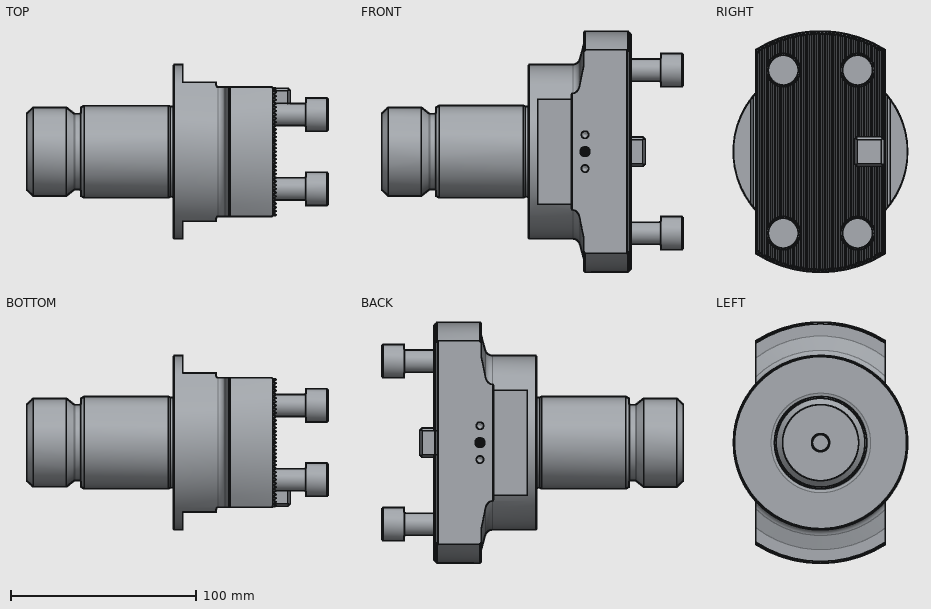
import cadquery as cq
import math

TOTAL_LENGTH = 162.8

QUARTER_ARC_DIP = 1 - math.sqrt(0.5)

NOSE_RADIUS = 24.0
NOSE_CHAMFER_LENGTH = 3.5
NOSE_CHAMFER_RISE = 3.4
GROOVE_START = 21.5
GROOVE_RADIUS = 20.5
GROOVE_RAMP_LENGTH = 4.2
GROOVE_END = 29.3
GROOVE_ROUND = 0.7
SHANK_RADIUS = 24.9
LEAD_IN_LENGTH = 1.8
LEAD_IN_RISE = 1.0
UNDERCUT_START = 76.5
UNDERCUT_DEPTH = 0.5
UNDERCUT_RAMP_LENGTH = 1.0
UNDERCUT_ROUND = 0.8
UNDERCUT_FACE_RADIUS = 26.9
UNDERCUT_FACE_DEPTH = 0.3

FLANGE_FACE = 79.1
FLANGE_RADIUS = 94.0 / 2
FLANGE_CHAMFER = 0.7
FLANGE_BACK = 84.3
STEP_END = 102.7
BODY_WIDTH = 75.0
BODY_FLAT_END = 102.2
STEP_RISE = 1.1

PLATE_BACK = 108.9
PLATE_FRONT = 134.6
PLATE_RADIUS = 130.0 / 2
PLATE_WIDTH = 70
PLATE_BACK_CHAMFER = 1.0
PLATE_RIM_CHAMFER = 2.0
NECK_ROUND = 3.9
CONE_OUTER_RADIUS = 57.6
CONE_TILT = math.radians(15)
TOOTH_COUNT = 35
TOOTH_PITCH = PLATE_WIDTH / TOOTH_COUNT
TOOTH_ANGLE = math.radians(60)
TOOTH_DEPTH = TOOTH_PITCH / 2 / math.tan(TOOTH_ANGLE / 2)
SERRATION_INSET = 0.5

BORE_RADIUS = 4.9
BORE_CHAMFER = 0.5
PASSAGE_X = 109.7
PASSAGE_RADIUS = 2.0
PASSAGE_CHAMFER = 0.7
SIDE_HOLE_RADIUS = 2.0
SIDE_HOLE_SPACING = 9.1
SIDE_HOLE_DEPTH = 8.1
DRILL_POINT_ANGLE = math.radians(118)

NOZZLE_LENGTH = 4.9
NOZZLE_BORE_RADIUS = 0.7
NOZZLE_MOUTH_RADIUS = 1.1

SCREW_Y = 20.0
SCREW_Z = 44
SCREW_RADIUS = 6.0
SCREW_LENGTH = 30.0
HEAD_RADIUS = 18.0 / 2
HEAD_HEIGHT = 12.2
HEAD_CHAMFER = 1.0
HEAD_NECK_ROUND = 0.7

KEY_SIZE = 16.0
KEY_TOP = 34.3
KEY_END = 142.3
KEY_SEAT = 130.2
KEY_CHAMFER = 1.5


def make_turned_blank():
    """The shank, flange, neck and plate as one turned shape."""
    neck_angle = math.pi / 2 - CONE_TILT
    cone_radius = FLANGE_RADIUS + NECK_ROUND * (1 - math.cos(neck_angle))
    cone_x = PLATE_BACK - (CONE_OUTER_RADIUS - cone_radius) * math.tan(CONE_TILT)
    neck_start = cone_x - NECK_ROUND * math.sin(neck_angle)
    neck_mid = (
        neck_start + NECK_ROUND * math.sin(neck_angle / 2),
        FLANGE_RADIUS + NECK_ROUND * (1 - math.cos(neck_angle / 2)),
    )
    ramp_end = GROOVE_START + GROOVE_RAMP_LENGTH
    ramp_angle = math.atan2(NOSE_RADIUS - GROOVE_RADIUS, GROOVE_RAMP_LENGTH)
    ramp_tangent = GROOVE_ROUND * math.tan(ramp_angle / 2)
    ramp_round_start = (
        ramp_end - ramp_tangent * math.cos(ramp_angle),
        GROOVE_RADIUS + ramp_tangent * math.sin(ramp_angle),
    )
    ramp_round_mid = (
        ramp_end + ramp_tangent - GROOVE_ROUND * math.sin(ramp_angle / 2),
        GROOVE_RADIUS + GROOVE_ROUND * (1 - math.cos(ramp_angle / 2)),
    )
    groove_dip = GROOVE_ROUND * QUARTER_ARC_DIP
    undercut_dip = UNDERCUT_ROUND * QUARTER_ARC_DIP
    undercut_end = FLANGE_FACE + UNDERCUT_FACE_DEPTH
    undercut_radius = SHANK_RADIUS - UNDERCUT_DEPTH
    profile = (
        cq.Workplane("XY")
        .moveTo(0, 0)
        .lineTo(0, NOSE_RADIUS - NOSE_CHAMFER_RISE)
        .lineTo(NOSE_CHAMFER_LENGTH, NOSE_RADIUS)
        .lineTo(GROOVE_START, NOSE_RADIUS)
        .lineTo(*ramp_round_start)
        .threePointArc(ramp_round_mid, (ramp_end + ramp_tangent, GROOVE_RADIUS))
        .lineTo(GROOVE_END - GROOVE_ROUND, GROOVE_RADIUS)
        .threePointArc(
            (GROOVE_END - groove_dip, GROOVE_RADIUS + groove_dip),
            (GROOVE_END, GROOVE_RADIUS + GROOVE_ROUND),
        )
        .lineTo(GROOVE_END, SHANK_RADIUS - LEAD_IN_RISE)
        .lineTo(GROOVE_END + LEAD_IN_LENGTH, SHANK_RADIUS)
        .lineTo(UNDERCUT_START, SHANK_RADIUS)
        .lineTo(UNDERCUT_START + UNDERCUT_RAMP_LENGTH, undercut_radius)
        .lineTo(undercut_end - UNDERCUT_ROUND, undercut_radius)
        .threePointArc(
            (undercut_end - undercut_dip, undercut_radius + undercut_dip),
            (undercut_end, undercut_radius + UNDERCUT_ROUND),
        )
        .lineTo(FLANGE_FACE, UNDERCUT_FACE_RADIUS)
        .lineTo(FLANGE_FACE, FLANGE_RADIUS - FLANGE_CHAMFER)
        .lineTo(FLANGE_FACE + FLANGE_CHAMFER, FLANGE_RADIUS)
        .lineTo(neck_start, FLANGE_RADIUS)
        .threePointArc(neck_mid, (cone_x, cone_radius))
        .lineTo(PLATE_BACK, CONE_OUTER_RADIUS)
        .lineTo(PLATE_BACK, PLATE_RADIUS - PLATE_BACK_CHAMFER)
        .lineTo(PLATE_BACK + PLATE_BACK_CHAMFER, PLATE_RADIUS)
        .lineTo(PLATE_FRONT - PLATE_RIM_CHAMFER, PLATE_RADIUS)
        .lineTo(PLATE_FRONT, PLATE_RADIUS - PLATE_RIM_CHAMFER)
        .lineTo(PLATE_FRONT, 0)
        .close()
    )
    return profile.revolve(360, (0, 0, 0), (1, 0, 0))


def make_width_envelope():
    """The outline in X and Y that limits the blank: full flange, then two narrower pairs of flats."""
    body_half = BODY_WIDTH / 2
    plate_half = PLATE_WIDTH / 2
    serration_start = PLATE_FRONT - PLATE_RIM_CHAMFER
    upper = [
        (0, FLANGE_RADIUS),
        (FLANGE_BACK, FLANGE_RADIUS),
        (FLANGE_BACK, body_half),
        (BODY_FLAT_END, body_half),
        (BODY_FLAT_END, plate_half + STEP_RISE),
        (STEP_END, plate_half),
        (serration_start - SERRATION_INSET, plate_half),
        (serration_start, plate_half - SERRATION_INSET),
        (PLATE_FRONT, plate_half - SERRATION_INSET),
    ]
    lower = [(x, -y) for x, y in reversed(upper)]
    outline = cq.Workplane("XY").polyline(upper + lower).close()
    return outline.extrude(PLATE_RADIUS, both=True)


def make_tooth_gaps():
    """V-shaped gaps between the teeth, running along Z, with a tooth tip at Y = 0."""
    tip_limit = TOOTH_COUNT // 2
    gap_ys = [(index + 0.5) * TOOTH_PITCH for index in range(-tip_limit - 1, tip_limit + 1)]
    root_x = PLATE_FRONT - TOOTH_DEPTH
    gaps = cq.Workplane("XY")
    for y in gap_ys:
        gaps = gaps.moveTo(root_x, y)
        gaps = gaps.lineTo(PLATE_FRONT, y + TOOTH_PITCH / 2)
        gaps = gaps.lineTo(PLATE_FRONT, y - TOOTH_PITCH / 2).close()
    return gaps.extrude(PLATE_RADIUS, both=True)


def make_bore():
    """Coolant bore from the shank end to the cross passage."""
    bore_end = PASSAGE_X + PASSAGE_RADIUS
    profile = cq.Workplane("XY").polyline([
        (0, 0),
        (0, BORE_RADIUS),
        (BORE_CHAMFER, BORE_RADIUS - BORE_CHAMFER),
        (bore_end, BORE_RADIUS - BORE_CHAMFER),
        (bore_end, 0),
    ]).close()
    return profile.revolve(360, (0, 0, 0), (1, 0, 0))


def make_cross_passage():
    """Passage right through the plate along Y, chamfered at both mouths."""
    half = PLATE_WIDTH / 2
    mouth_radius = PASSAGE_RADIUS + PASSAGE_CHAMFER
    profile = cq.Workplane("XY").polyline([
        (0, -half),
        (mouth_radius, -half),
        (PASSAGE_RADIUS, PASSAGE_CHAMFER - half),
        (PASSAGE_RADIUS, half - PASSAGE_CHAMFER),
        (mouth_radius, half),
        (0, half),
    ]).close()
    return profile.revolve(360, (0, 0, 0), (0, 1, 0)).translate((PASSAGE_X, 0, 0))


def make_side_hole(z, side):
    """Drilled blind hole in the -Y (side = -1) or +Y (side = 1) face, with a conical bottom."""
    half = PLATE_WIDTH / 2
    bottom = half - SIDE_HOLE_DEPTH
    tip = bottom - SIDE_HOLE_RADIUS / math.tan(DRILL_POINT_ANGLE / 2)
    profile = cq.Workplane("XY").polyline([
        (0, side * half),
        (SIDE_HOLE_RADIUS, side * half),
        (SIDE_HOLE_RADIUS, side * bottom),
        (0, side * tip),
    ]).close()
    return profile.revolve(360, (0, 0, 0), (0, 1, 0)).translate((PASSAGE_X, 0, z))


def make_nozzle(side):
    """Hollow nozzle in one end of the cross passage, its bore flared at the mouth."""
    outer = PLATE_WIDTH / 2 - PASSAGE_CHAMFER
    inner = outer - NOZZLE_LENGTH
    flare_end = outer - (NOZZLE_MOUTH_RADIUS - NOZZLE_BORE_RADIUS)
    profile = cq.Workplane("XY").polyline([
        (NOZZLE_MOUTH_RADIUS, side * outer),
        (PASSAGE_RADIUS, side * outer),
        (PASSAGE_RADIUS, side * inner),
        (NOZZLE_BORE_RADIUS, side * inner),
        (NOZZLE_BORE_RADIUS, side * flare_end),
    ]).close()
    return profile.revolve(360, (0, 0, 0), (0, 1, 0)).translate((PASSAGE_X, 0, 0))


def make_screw(y, z):
    """Cap screw along X with its head at the +X end."""
    head_start = TOTAL_LENGTH - HEAD_HEIGHT
    round_dip = HEAD_NECK_ROUND * QUARTER_ARC_DIP
    profile = (
        cq.Workplane("XY")
        .moveTo(head_start - SCREW_LENGTH, 0)
        .lineTo(head_start - SCREW_LENGTH, SCREW_RADIUS)
        .lineTo(head_start - HEAD_NECK_ROUND, SCREW_RADIUS)
        .threePointArc(
            (head_start - round_dip, SCREW_RADIUS + round_dip),
            (head_start, SCREW_RADIUS + HEAD_NECK_ROUND),
        )
        .lineTo(head_start, HEAD_RADIUS)
        .lineTo(TOTAL_LENGTH - HEAD_CHAMFER, HEAD_RADIUS)
        .lineTo(TOTAL_LENGTH, HEAD_RADIUS - HEAD_CHAMFER)
        .lineTo(TOTAL_LENGTH, 0)
        .close()
    )
    return profile.revolve(360, (0, 0, 0), (1, 0, 0)).translate((0, y, z))


def make_key():
    """Square key standing out of the serrated face near its +Y edge."""
    block = cq.Workplane("XY").box(KEY_END - KEY_SEAT, KEY_SIZE, KEY_SIZE)
    block = block.faces(">X").edges().chamfer(KEY_CHAMFER)
    block = block.edges("|X").chamfer(KEY_CHAMFER)
    return block.translate(((KEY_SEAT + KEY_END) / 2, KEY_TOP - KEY_SIZE / 2, 0))


SIDES = (-1, 1)
screws = [make_screw(y_side * SCREW_Y, z_side * SCREW_Z) for y_side in SIDES for z_side in SIDES]
key = make_key()
nozzles = [make_nozzle(side) for side in SIDES]

housing = make_turned_blank().intersect(make_width_envelope())
housing = housing.cut(make_tooth_gaps()).cut(make_bore()).cut(make_cross_passage())
for side in SIDES:
    for z in (-SIDE_HOLE_SPACING, SIDE_HOLE_SPACING):
        housing = housing.cut(make_side_hole(z, side))
for seated in screws + [key]:
    housing = housing.cut(seated)

result = cq.Compound.makeCompound([
    housing.val(),
    *[screw.val() for screw in screws],
    key.val(),
    *[nozzle.val() for nozzle in nozzles],
])